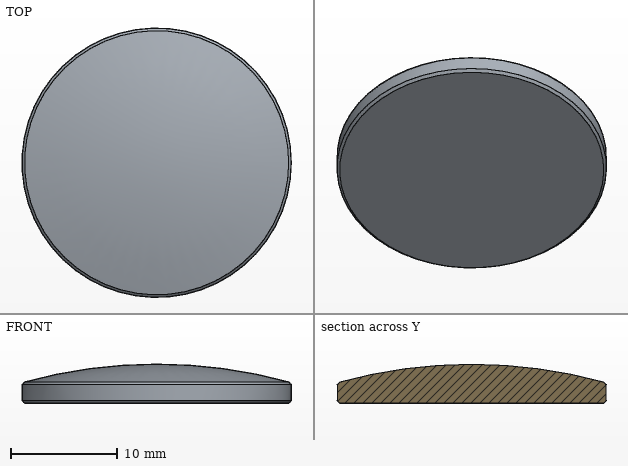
import cadquery as cq
import math

diameter = 25.4
total_height = 3.7
dome_base_height = 2.03
chamfer = 0.25

radius = diameter / 2
face_radius = radius - chamfer
dome_rise = total_height - dome_base_height
sphere_radius = (face_radius**2 + dome_rise**2) / (2 * dome_rise)

mid_radius = face_radius / 2
sphere_center_height = total_height - sphere_radius
mid_height = sphere_center_height + math.sqrt(sphere_radius**2 - mid_radius**2)

half_section = (
    cq.Workplane("XZ")
    .lineTo(face_radius, 0)
    .lineTo(radius, chamfer)
    .lineTo(radius, dome_base_height - chamfer)
    .lineTo(face_radius, dome_base_height)
    .threePointArc((mid_radius, mid_height), (0, total_height))
    .close()
)

result = half_section.revolve(360, (0, 0, 0), (0, 1, 0))